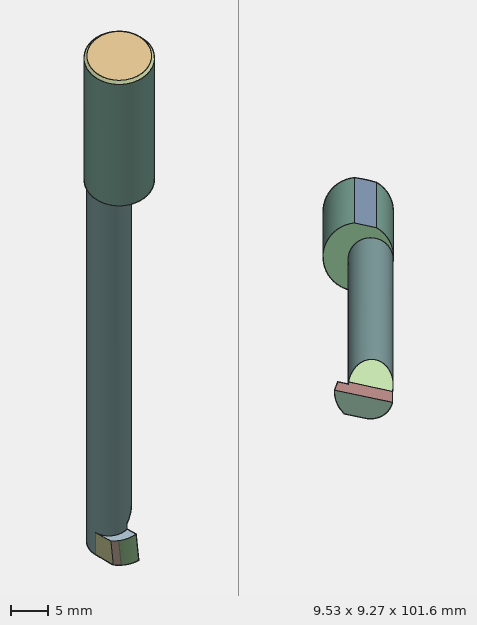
import cadquery as cq
import math

TOTAL_LENGTH = 101.59

SHANK_RADIUS = 9.525 / 2
SHANK_LENGTH = 25.4
SHANK_CHAMFER = 0.4
FLAT_Y = 9.27 - SHANK_RADIUS

NECK_RADIUS = 3.05
NECK_X = NECK_RADIUS - SHANK_RADIUS

RUNOUT_Z = 6.25
RUNOUT_ANGLE = 45.0

HEAD_HEIGHT = 5.1
CORNER_X = 3.3
HEAD_FRONT_X = 1.3
FLANK_FACET_X = 2.1
FLANK_FACET_ANGLE = 41.0
FLANK_BULGE = 0.2
SIDE_RELIEF = 5.0

END_CUTTING_ANGLE = 2.0
END_RELIEF_ANGLE = 6.5

CLEARANCE = 2 * SHANK_RADIUS


def tan_deg(angle):
    return math.tan(math.radians(angle))


def make_shank():
    shank = (
        cq.Workplane("XY", origin=(0, 0, TOTAL_LENGTH - SHANK_LENGTH))
        .circle(SHANK_RADIUS)
        .extrude(SHANK_LENGTH)
        .faces(">Z")
        .chamfer(SHANK_CHAMFER)
    )
    beyond_flat = (
        cq.Workplane("XY", origin=(0, FLAT_Y, 0))
        .rect(2 * CLEARANCE, CLEARANCE)
        .extrude(TOTAL_LENGTH)
        .translate((0, CLEARANCE / 2, 0))
    )
    return shank.cut(beyond_flat)


def make_neck():
    neck_length = TOTAL_LENGTH - SHANK_LENGTH
    neck = cq.Workplane("XY").center(NECK_X, 0).circle(NECK_RADIUS).extrude(neck_length)
    runout_top_z = RUNOUT_Z + CLEARANCE * tan_deg(RUNOUT_ANGLE)
    removed_half = (
        cq.Workplane("YZ")
        .moveTo(0, -CLEARANCE)
        .lineTo(0, RUNOUT_Z)
        .lineTo(CLEARANCE, runout_top_z)
        .lineTo(CLEARANCE, -CLEARANCE)
        .close()
        .extrude(CLEARANCE, both=True)
    )
    return neck.cut(removed_half)


def head_outline(z):
    """Section of the cutting head at height z; its flank draws back toward -X going up.

    The flank is a straight facet followed by an arc that ends at the cutting corner.
    """
    shift = -z * tan_deg(SIDE_RELIEF)
    facet_rise = (FLANK_FACET_X - HEAD_FRONT_X) * tan_deg(FLANK_FACET_ANGLE)
    front = (HEAD_FRONT_X + shift, -NECK_RADIUS)
    knee = (FLANK_FACET_X + shift, -NECK_RADIUS + facet_rise)
    corner = (CORNER_X + shift, 0)
    return (
        cq.Workplane("XY", origin=(0, 0, z))
        .moveTo(NECK_X, 0)
        .lineTo(NECK_X, -NECK_RADIUS)
        .lineTo(*front)
        .lineTo(*knee)
        .sagittaArc(corner, -FLANK_BULGE)
        .close()
        .val()
    )


def make_head():
    sections = [head_outline(0), head_outline(HEAD_HEIGHT)]
    return cq.Workplane(cq.Solid.makeLoft(sections, True))


def below_end_face():
    end_normal = (tan_deg(END_CUTTING_ANGLE), tan_deg(END_RELIEF_ANGLE), 1)
    end_plane = cq.Plane(origin=(CORNER_X, 0, 0), normal=end_normal)
    return cq.Workplane(end_plane).circle(2 * CLEARANCE).extrude(-CLEARANCE)


result = make_shank().union(make_neck()).union(make_head()).cut(below_end_face())